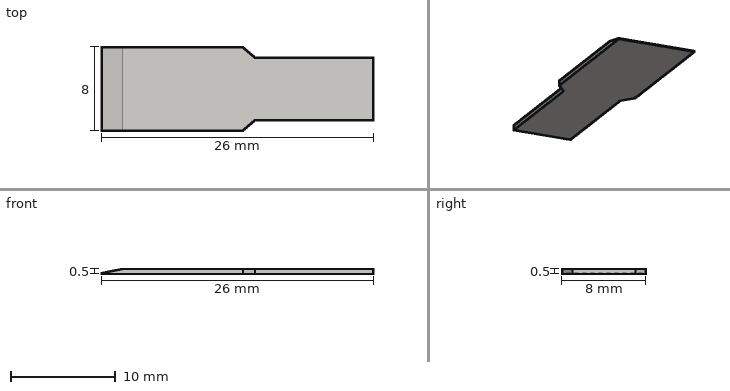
import cadquery as cq

length = 26.0
blade_width = 8.0
neck_width = 6.0
thickness = 0.5
blade_length = 13.5
shoulder_length = 1.17
bevel_length = 2.0
edge_thickness = 0.1

neck_start = blade_length + shoulder_length


def flat_blank():
    """Plate with a wide blade, tapered shoulders and a narrower neck along +X."""
    half_blade = blade_width / 2
    half_neck = neck_width / 2
    outline = [
        (0, -half_blade),
        (blade_length, -half_blade),
        (neck_start, -half_neck),
        (length, -half_neck),
        (length, half_neck),
        (neck_start, half_neck),
        (blade_length, half_blade),
        (0, half_blade),
    ]
    return cq.Workplane("XY").polyline(outline).close().extrude(thickness)


def bevel_cutter():
    """Wedge above the sloping face that thins the blade to its cutting edge."""
    return (
        cq.Workplane("XZ")
        .polyline([(0, edge_thickness), (bevel_length, thickness), (0, thickness)])
        .close()
        .extrude(blade_width / 2, both=True)
    )


result = flat_blank().cut(bevel_cutter())